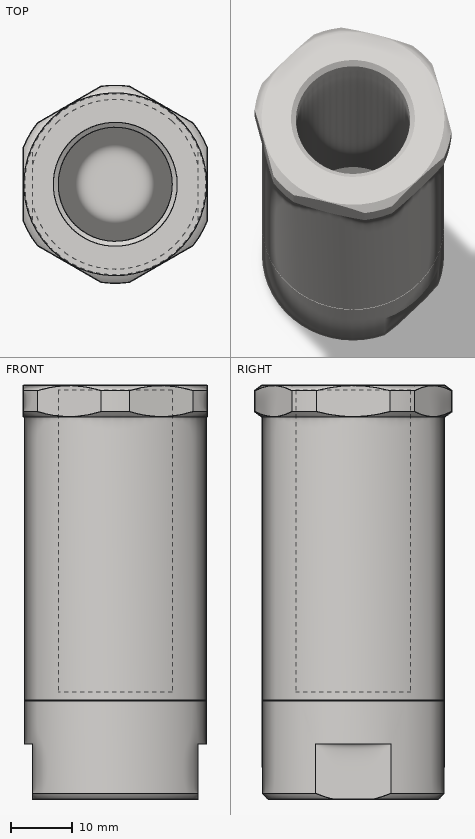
import cadquery as cq
import math

total_height = 67.5

body_diameter = 29.7
bottom_chamfer = 1.0

groove_bottom = 16.0
groove_width = 0.2
groove_depth = 0.1

wrench_width = 27.0
wrench_height = 9.0

hex_sides = 6
hex_across_flats = 30.0
hex_corner_diameter = 32.3
hex_end_diameter = 29.8
hex_height = 5.2
hex_chamfer_height = 0.9

bore_diameter = 18.6
bore_mouth_diameter = 20.2
bore_depth = 50.0


def make_body():
    """Round body with a chamfered lower edge."""
    body = cq.Workplane("XY").circle(body_diameter / 2).extrude(total_height)
    return body.faces("<Z").chamfer(bottom_chamfer)


def make_hex_collar():
    """Hexagon with two flats facing X, its corners turned round and chamfered at both ends."""
    across_corners = hex_across_flats / math.cos(math.pi / hex_sides)
    hexagon = (
        cq.Workplane("XY")
        .polygon(hex_sides, across_corners)
        .extrude(hex_height)
        .rotate((0, 0, 0), (0, 0, 1), 180 / hex_sides)
    )
    corner_radius = hex_corner_diameter / 2
    chamfer_width = corner_radius - hex_end_diameter / 2
    turned_blank = (
        cq.Workplane("XY")
        .circle(corner_radius)
        .extrude(hex_height)
        .edges("%CIRCLE")
        .chamfer(hex_chamfer_height, chamfer_width)
    )
    return hexagon.intersect(turned_blank).translate((0, 0, total_height - hex_height))


def make_joint_groove():
    """Ring that cuts the joint groove."""
    return (
        cq.Workplane("XY", origin=(0, 0, groove_bottom))
        .circle(body_diameter / 2)
        .circle(body_diameter / 2 - groove_depth)
        .extrude(groove_width)
    )


def make_wrench_flat(side):
    """Block that cuts one wrench flat on the given X side (-1 or +1)."""
    center_x = side * (wrench_width + body_diameter) / 2
    return (
        cq.Workplane("XY", origin=(center_x, 0, 0))
        .rect(body_diameter, body_diameter)
        .extrude(wrench_height)
    )


def make_bore():
    """Solid that cuts the bore and its countersunk mouth, opening on the top face."""
    bore_radius = bore_diameter / 2
    mouth_radius = bore_mouth_diameter / 2
    mouth_depth = mouth_radius - bore_radius
    return (
        cq.Workplane("XZ")
        .moveTo(0, total_height - bore_depth)
        .lineTo(bore_radius, total_height - bore_depth)
        .lineTo(bore_radius, total_height - mouth_depth)
        .lineTo(mouth_radius, total_height)
        .lineTo(0, total_height)
        .close()
        .revolve(360, (0, 0, 0), (0, 1, 0))
    )


result = make_body().union(make_hex_collar())
result = result.cut(make_joint_groove())
for side in (-1, 1):
    result = result.cut(make_wrench_flat(side))
result = result.cut(make_bore())